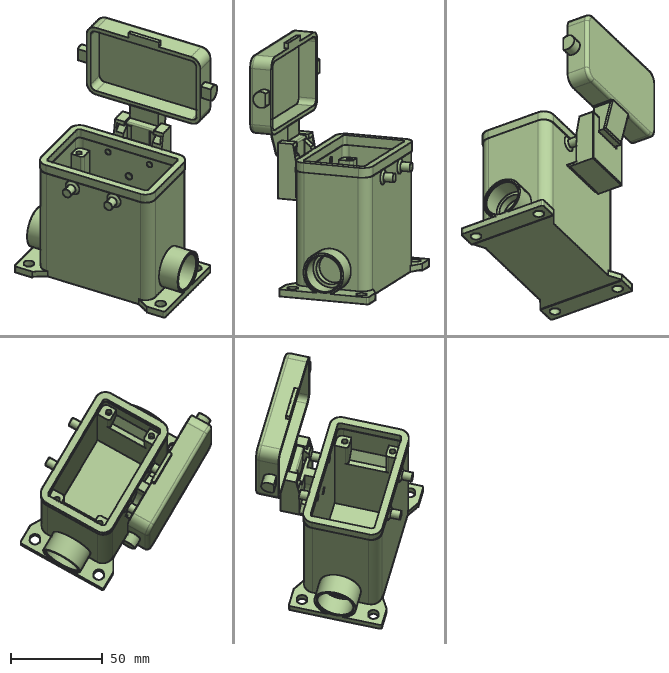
import cadquery as cq
import math


TOTAL_HEIGHT = 132.5
EPS = 0.7

BODY_X = 70.5
BODY_Y = 43.6
RIM_X = 70.8
RIM_Y = 44.3
CORNER_R = 6.1
BODY_TOP = 73.1
RIM_BOTTOM = 67.7
UNDERSIDE_RECESS = 0.5
FLOOR_TOP = 4.1
MOUTH_X = 62.5
MOUTH_Y = 35.8
MOUTH_R = 1.6
CAVITY_RELIEF = 0.3
CAVITY_R = 3.0

FOOT_END = 46.8
FOOT_HALF_Y = 26.1
FOOT_TOP = 4.0
FOOT_TAPER_START = 35.5
FOOT_TAPER_END = 28.2
FOOT_EDGE_R = 1.0
FOOT_HOLE_D = 5.8
FOOT_HOLE_X = 41.0
FOOT_HOLE_Y = 20.0

ENTRY_Z = 14.8
ENTRY_R = 11.7
ENTRY_BORE_R = 10.1
ENTRY_BORE_DEPTH = 10.9
ENTRY_CHAMFER = 0.5
KNOCKOUT_R = 8.2
KNOCKOUT_END = 31.3

POST_INNER_X = 24.2
POST_INNER_Y = 10.5
POST_TOP = 60.8
POST_EDGE_R = 1.6
POST_HOLE_D = 3.0
POST_HOLE_DEPTH = 8.0
POST_HOLE_POINT = 0.9
POST_HOLE_X = 28.2
POST_HOLE_Y = 13.4
SHELF_TOP = 45.0
SHELF_SLOPE_X = 27.2
SHELF_WALL_TOP = 49.5

PEG_X = 12.9
PEG_Z = 63.5
PEG_R = 2.5
PEG_TIP_Y = 28.4
PEG_BASE_R = 4.2
PEG_BASE_Y = 22.9
PEG_DIMPLE_D = 3.3
PEG_DIMPLE_DEPTH = 0.3
RIVET_D = 4.0
RIVET_Z = 51.7
RIVET_DEPTH = 0.5

BRACKET_HALF_X = 15.0
BRACKET_BACK = 39.0
BRACKET_TOP = 77.6
BRACKET_TOP_FRONT = 30.0
BRACKET_FRONT = 28.1
BRACKET_BOTTOM = 46.4
BRACKET_EDGE = 0.4
TOE_TOP = 48.1
TOE_TIP = 22.5
TOE_SLANT = 0.9
SADDLE_TOP = 67.3
SLOT_HALF_X = 9.0
TONGUE_POCKET_FRONT = 30.1
TONGUE_POCKET_BACK = 35.8
TONGUE_POCKET_FLOOR = 63.6
CHEEK_WALL = 1.3
CHEEK_POCKET_TOP = 75.4
CHEEK_POCKET_BACK = 33.1
CHEEK_RAMP_TOP = 74.3
CHEEK_RAMP_BOTTOM = 70.2
WEB_HALF_X = 2.6
WEB_ARC_R = 8.1
WEB_ARC_TOP = 59.2

LID_BOTTOM = 86.0
LID_TOP = 129.6
LID_FRONT = 34.8
LID_BACK = 47.7
LID_WALL = 2.5
LID_CAVITY_R = 3.3
LID_CAVITY_DEPTH = 10.0
LID_BACK_EDGE = 2.0
TAB_HALF_X = 9.4
TAB_THICKNESS = 2.1
KNOB_END = 41.3
KNOB_R = 4.5
KNOB_Y = 38.4
KNOB_FLAT_Y = 35.8
ARM_HALF_X = 8.7
ARM_FRONT = 35.4
ARM_BOTTOM = 68.6
ARM_BOTTOM_BACK = 42.4
ARM_TOP_BACK = 47.2
ARM_EDGE = 0.8
ARM_ROOT_HALF_X = 9.3
ARM_ROOT_BACK = 46.6
ARM_ROOT_HEIGHT = 0.8
HOOK_TOP = 77.2
HOOK_FRONT = 31.3
HOOK_NOSE_TOP = 76.8
HOOK_NOSE_R = 0.9
TONGUE_HALF_X = 5.5
TONGUE_STEP = 0.9
TONGUE_TOP = 75.0


def block(x0, x1, y0, y1, z0, z1):
    """Box between two opposite corners."""
    return cq.Workplane("XY").box(x1 - x0, y1 - y0, z1 - z0, centered=False).translate((x0, y0, z0))


def rounded_block(size_x, size_y, radius, z0, z1):
    """Upright block centred on the Z axis, with rounded vertical edges."""
    return block(-size_x / 2, size_x / 2, -size_y / 2, size_y / 2, z0, z1).edges("|Z").fillet(radius)


def side_profile(points, half_x):
    """Y-Z outline extruded equally to both sides of the X centre."""
    return cq.Workplane("YZ").polyline(points).close().extrude(half_x, both=True)


def rod_x(radius, y, z, x0, x1):
    """Cylinder along X."""
    return cq.Workplane("YZ", origin=(x0, y, z)).circle(radius).extrude(x1 - x0)


def on_both_ends(shape):
    """The shape together with its mirror image on the other end of the X axis."""
    return shape.union(shape.mirror("YZ"))


def on_side(shape, side_y):
    """The shape as made on the +Y side, or mirrored to the -Y side."""
    return shape if side_y > 0 else shape.mirror("XZ")



def make_shell():
    body = rounded_block(BODY_X, BODY_Y, CORNER_R, UNDERSIDE_RECESS, BODY_TOP)
    return body.union(rounded_block(RIM_X, RIM_Y, CORNER_R, RIM_BOTTOM, BODY_TOP))


def make_cavity():
    mouth = rounded_block(MOUTH_X, MOUTH_Y, MOUTH_R, RIM_BOTTOM, BODY_TOP)
    lower = rounded_block(
        MOUTH_X + 2 * CAVITY_RELIEF, MOUTH_Y + 2 * CAVITY_RELIEF, CAVITY_R, FLOOR_TOP, RIM_BOTTOM
    )
    return mouth.union(lower)


def make_foot():
    """Tapered foot on the +X end, set back underneath where it meets the body."""
    half_outline = [
        (FOOT_END, FOOT_HALF_Y),
        (FOOT_TAPER_START, FOOT_HALF_Y),
        (FOOT_TAPER_END, BODY_Y / 2),
    ]
    outline = half_outline + [(x, -y) for x, y in reversed(half_outline)]
    foot = cq.Workplane("XY").polyline(outline).close().extrude(FOOT_TOP)
    foot = foot.edges("|Z and >X").fillet(FOOT_EDGE_R)
    hole_places = [(FOOT_HOLE_X, FOOT_HOLE_Y), (FOOT_HOLE_X, -FOOT_HOLE_Y)]
    holes = cq.Workplane("XY").pushPoints(hole_places).circle(FOOT_HOLE_D / 2).extrude(FOOT_TOP)
    recess = block(0, FOOT_TAPER_START, -FOOT_HALF_Y, FOOT_HALF_Y, 0, UNDERSIDE_RECESS)
    return foot.cut(holes).cut(recess)


def make_entry_tube():
    return rod_x(ENTRY_R, 0, ENTRY_Z, BODY_X / 2 - EPS, FOOT_END)


def make_entry_bore():
    """Chamfered bore with a smaller blind knockout behind it."""
    bore_end = FOOT_END - ENTRY_BORE_DEPTH
    profile = [
        (KNOCKOUT_END, 0),
        (KNOCKOUT_END, KNOCKOUT_R),
        (bore_end, KNOCKOUT_R),
        (bore_end, ENTRY_BORE_R),
        (FOOT_END - ENTRY_CHAMFER, ENTRY_BORE_R),
        (FOOT_END, ENTRY_BORE_R + ENTRY_CHAMFER),
        (FOOT_END, 0),
    ]
    bore = cq.Workplane("XZ").polyline(profile).close().revolve(360, (0, 0, 0), (1, 0, 0))
    return bore.translate((0, 0, ENTRY_Z))


def make_shelf():
    """Block along the +X end wall with a slope up to the wall."""
    wall_x = MOUTH_X / 2 + CAVITY_RELIEF
    outer_x = wall_x + EPS
    half_y = MOUTH_Y / 2 + CAVITY_RELIEF + EPS
    profile = [
        (POST_INNER_X, FLOOR_TOP - EPS),
        (POST_INNER_X, SHELF_TOP),
        (SHELF_SLOPE_X, SHELF_TOP),
        (wall_x, SHELF_WALL_TOP),
        (outer_x, SHELF_WALL_TOP),
        (outer_x, FLOOR_TOP - EPS),
    ]
    return cq.Workplane("XZ").polyline(profile).close().extrude(half_y, both=True)


def make_post_hole():
    """Blind drilled hole with a conical point."""
    radius = POST_HOLE_D / 2
    profile = [
        (0, 0),
        (radius, 0),
        (radius, -POST_HOLE_DEPTH),
        (0, -POST_HOLE_DEPTH - POST_HOLE_POINT),
    ]
    hole = cq.Workplane("XZ").polyline(profile).close().revolve(360, (0, 0, 0), (0, 1, 0))
    return hole.translate((POST_HOLE_X, POST_HOLE_Y, POST_TOP))


def make_post(side_y):
    """Screw post in the +X corner on the given Y side, standing on the shelf."""
    outer_x = MOUTH_X / 2 + CAVITY_RELIEF + EPS
    outer_y = MOUTH_Y / 2 + CAVITY_RELIEF + EPS
    post = block(POST_INNER_X, outer_x, POST_INNER_Y, outer_y, SHELF_TOP - EPS, POST_TOP)
    post = post.edges("|Z and <X and <Y").fillet(POST_EDGE_R)
    post = post.cut(make_post_hole())
    return on_side(post, side_y)


def make_peg(side_x, side_y):
    """Locking peg with a flared base, standing out of the long wall."""
    root_y = BODY_Y / 2 - EPS
    profile = (
        cq.Workplane("XY")
        .moveTo(0, root_y)
        .lineTo(PEG_BASE_R, root_y)
        .lineTo(PEG_BASE_R, BODY_Y / 2)
        .lineTo(PEG_R, PEG_BASE_Y)
        .lineTo(PEG_R, PEG_TIP_Y)
        .lineTo(0, PEG_TIP_Y)
        .close()
    )
    peg = profile.revolve(360, (0, 0, 0), (0, 1, 0))
    return on_side(peg, side_y).translate((side_x * PEG_X, 0, PEG_Z))


def wall_recess(x, z, diameter, depth):
    """Shallow round recess in the inside of the +Y wall."""
    wall_y = MOUTH_Y / 2 + CAVITY_RELIEF
    return cq.Workplane("XZ", origin=(x, wall_y, z)).circle(diameter / 2).extrude(-depth)


def make_cheek_pocket():
    """Pocket in the front of the +X cheek, with a ramp as its floor."""
    profile = [
        (BRACKET_FRONT, CHEEK_POCKET_TOP),
        (CHEEK_POCKET_BACK, CHEEK_POCKET_TOP),
        (CHEEK_POCKET_BACK, CHEEK_RAMP_TOP),
        (BRACKET_FRONT, CHEEK_RAMP_BOTTOM),
    ]
    pocket = cq.Workplane("YZ", origin=(SLOT_HALF_X, 0, 0)).polyline(profile).close()
    return pocket.extrude(BRACKET_HALF_X - CHEEK_WALL - SLOT_HALF_X)


def make_bracket():
    """Hinge bracket: two cheeks either side of the slot that takes the lid arm."""
    profile = [
        (BRACKET_BACK, BRACKET_BOTTOM),
        (BRACKET_BACK, BRACKET_TOP),
        (BRACKET_TOP_FRONT, BRACKET_TOP),
        (BRACKET_FRONT, SADDLE_TOP),
        (BRACKET_FRONT, TOE_TOP),
        (TOE_TIP, TOE_TOP),
        (TOE_TIP + TOE_SLANT, BRACKET_BOTTOM),
    ]
    bracket = side_profile(profile, BRACKET_HALF_X)
    bracket = bracket.faces(">Y").edges().chamfer(BRACKET_EDGE)
    slot = block(-SLOT_HALF_X, SLOT_HALF_X, 0, BRACKET_BACK, SADDLE_TOP, BRACKET_TOP)
    tongue_pocket = block(
        -SLOT_HALF_X, SLOT_HALF_X,
        TONGUE_POCKET_FRONT, TONGUE_POCKET_BACK,
        TONGUE_POCKET_FLOOR, SADDLE_TOP,
    )
    return bracket.cut(slot).cut(tongue_pocket).cut(on_both_ends(make_cheek_pocket()))


def make_web():
    """Flared web that joins the bracket to the housing wall."""
    arc_end_x = WEB_HALF_X + WEB_ARC_R
    arc_end_z = WEB_ARC_TOP - WEB_ARC_R
    arc_middle = WEB_ARC_R * math.sqrt(0.5)
    root_y = BODY_Y / 2 - EPS
    half_web = (
        cq.Workplane("XZ", origin=(0, root_y, 0))
        .moveTo(0, SADDLE_TOP)
        .lineTo(WEB_HALF_X, SADDLE_TOP)
        .lineTo(WEB_HALF_X, WEB_ARC_TOP)
        .threePointArc((arc_end_x - arc_middle, WEB_ARC_TOP - arc_middle), (arc_end_x, arc_end_z))
        .lineTo(BRACKET_HALF_X, TOE_TOP)
        .lineTo(0, TOE_TOP)
        .close()
        .extrude(root_y - BRACKET_FRONT)
    )
    return on_both_ends(half_web)


def make_housing():
    housing = make_shell().cut(make_cavity())
    end_features = make_foot().union(make_entry_tube()).union(make_shelf())
    housing = housing.union(on_both_ends(end_features))
    for side_y in (-1, 1):
        housing = housing.union(on_both_ends(make_post(side_y)))
        for side_x in (-1, 1):
            housing = housing.union(make_peg(side_x, side_y))
    housing = housing.cut(on_both_ends(make_entry_bore()))
    housing = housing.union(make_web()).union(make_bracket())
    for x in (-PEG_X, PEG_X):
        housing = housing.cut(wall_recess(x, PEG_Z, PEG_DIMPLE_D, PEG_DIMPLE_DEPTH))
    return housing.cut(wall_recess(0, RIVET_Z, RIVET_D, RIVET_DEPTH))



def make_lid_tray():
    """Shallow tray, open towards -Y, with a lifting tab on its top edge."""
    half_x = RIM_X / 2
    tray = block(-half_x, half_x, LID_FRONT, LID_BACK, LID_BOTTOM, LID_TOP)
    tray = tray.edges("|Y").fillet(CORNER_R)
    tray = tray.faces(">Y").edges().fillet(LID_BACK_EDGE)
    cavity = block(
        -half_x + LID_WALL, half_x - LID_WALL,
        LID_FRONT, LID_FRONT + LID_CAVITY_DEPTH,
        LID_BOTTOM + LID_WALL, LID_TOP - LID_WALL,
    )
    tab = block(
        -TAB_HALF_X, TAB_HALF_X, LID_FRONT, LID_FRONT + TAB_THICKNESS, LID_TOP - EPS, TOTAL_HEIGHT
    )
    return tray.union(tab).cut(cavity.edges("|Y").fillet(LID_CAVITY_R))


def make_knob():
    """Round side knob with a flat on its open side, on the +X end."""
    centre_z = (LID_BOTTOM + LID_TOP) / 2
    knob = rod_x(KNOB_R, KNOB_Y, centre_z, RIM_X / 2 - EPS, KNOB_END)
    flat = block(0, KNOB_END, 0, KNOB_FLAT_Y, centre_z - KNOB_R, centre_z + KNOB_R)
    return knob.cut(flat)


def make_arm():
    """Hinge arm with a forward hook whose tongue rests in the bracket pocket."""
    profile = [
        (ARM_FRONT, LID_BOTTOM + EPS),
        (ARM_FRONT, HOOK_TOP),
        (HOOK_FRONT, HOOK_NOSE_TOP),
        (HOOK_FRONT, TONGUE_POCKET_FLOOR),
        (ARM_FRONT, TONGUE_POCKET_FLOOR),
        (ARM_FRONT, ARM_BOTTOM),
        (ARM_BOTTOM_BACK, ARM_BOTTOM),
        (ARM_TOP_BACK, LID_BOTTOM + EPS),
    ]
    arm = side_profile(profile, ARM_HALF_X)
    outward = cq.Vector(0, LID_BOTTOM + EPS - ARM_BOTTOM, ARM_BOTTOM_BACK - ARM_TOP_BACK)
    back_face = arm.faces(cq.selectors.DirectionMinMaxSelector(outward, True))
    arm = back_face.edges("not >Z").chamfer(ARM_EDGE)
    nose_edge = cq.selectors.NearestToPointSelector((0, HOOK_FRONT, HOOK_NOSE_TOP))
    arm = arm.edges("|X").edges(nose_edge).fillet(HOOK_NOSE_R)
    step = block(
        TONGUE_HALF_X, ARM_HALF_X,
        HOOK_FRONT, HOOK_FRONT + TONGUE_STEP,
        TONGUE_POCKET_FLOOR, TONGUE_TOP,
    )
    root = block(
        -ARM_ROOT_HALF_X, ARM_ROOT_HALF_X,
        ARM_FRONT, ARM_ROOT_BACK,
        LID_BOTTOM - ARM_ROOT_HEIGHT, LID_BOTTOM + EPS,
    )
    return arm.cut(on_both_ends(step)).union(root)


def make_lid():
    return make_lid_tray().union(on_both_ends(make_knob())).union(make_arm())


housing = make_housing()
lid = make_lid()
result = cq.Compound.makeCompound([housing.val(), lid.val()])